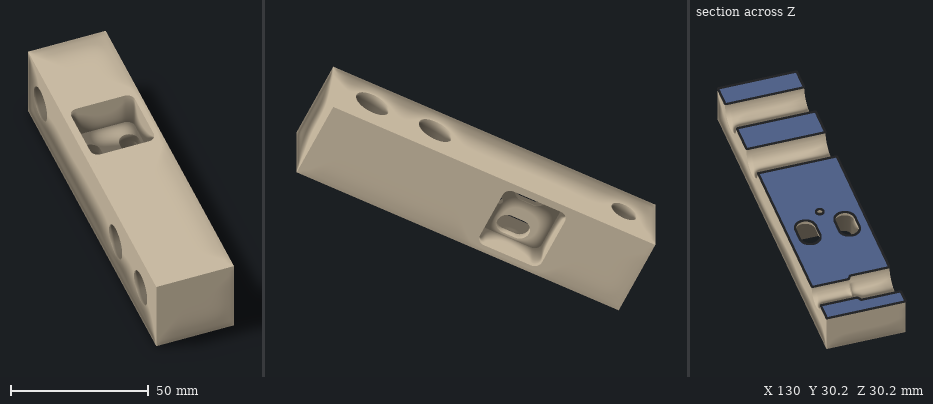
import cadquery as cq
import math

length = 130.0
side = 30.2

mount_hole_diameter = 13.4
plain_hole_positions = (88.8, 114.2)
stepped_hole_position = 12.6
stepped_hole_small_diameter = 10.1
wide_bore_depth = side / 2
shoulder_angle = 118
shoulder_depth = (
    (mount_hole_diameter - stepped_hole_small_diameter)
    / 2
    / math.tan(math.radians(shoulder_angle / 2))
)

pocket_center = 46.3
pocket_length = 25.1
pocket_width = 24.7
pocket_corner_radius = 3.0
web_thickness = 3.3
pocket_depth = (side - web_thickness) / 2

slot_length = 12.7
slot_width = 7.5
slot_spacing = 15.0
wire_hole_position = 55.5
wire_hole_diameter = 2.6


def cross_hole(x):
    """Straight mounting hole through the full width."""
    return (
        cq.Workplane("XZ", origin=(x, side / 2, 0))
        .circle(mount_hole_diameter / 2)
        .extrude(side)
    )


def stepped_hole(x):
    """Wide bore from the front, with a conical shoulder down to a narrow bore out the back."""
    wide_radius = mount_hole_diameter / 2
    narrow_radius = stepped_hole_small_diameter / 2
    shoulder_end = wide_bore_depth + shoulder_depth
    return (
        cq.Workplane("XY", origin=(x, -side / 2, 0))
        .polyline(
            [
                (0, 0),
                (wide_radius, 0),
                (wide_radius, wide_bore_depth),
                (narrow_radius, shoulder_end),
                (narrow_radius, side),
                (0, side),
            ]
        )
        .close()
        .revolve(360, (0, 0, 0), (0, 1, 0))
    )


def pocket(bottom):
    """Rounded rectangular pocket whose lower end is at the given height."""
    return (
        cq.Workplane("XY", origin=(pocket_center, 0, bottom))
        .rect(pocket_length, pocket_width)
        .extrude(pocket_depth)
        .edges("|Z")
        .fillet(pocket_corner_radius)
    )


result = cq.Workplane("XY").box(length, side, side, centered=(False, True, True))

for hole_x in plain_hole_positions:
    result = result.cut(cross_hole(hole_x))
result = result.cut(stepped_hole(stepped_hole_position))

for pocket_bottom in (web_thickness / 2, -side / 2):
    result = result.cut(pocket(pocket_bottom))

web_base = cq.Workplane("XY", origin=(0, 0, -web_thickness / 2))
slots = (
    web_base.pushPoints([(pocket_center, y) for y in (-slot_spacing / 2, slot_spacing / 2)])
    .slot2D(slot_length, slot_width)
    .extrude(web_thickness)
)
wire_hole = (
    web_base.center(wire_hole_position, 0)
    .circle(wire_hole_diameter / 2)
    .extrude(web_thickness)
)
result = result.cut(slots).cut(wire_hole)